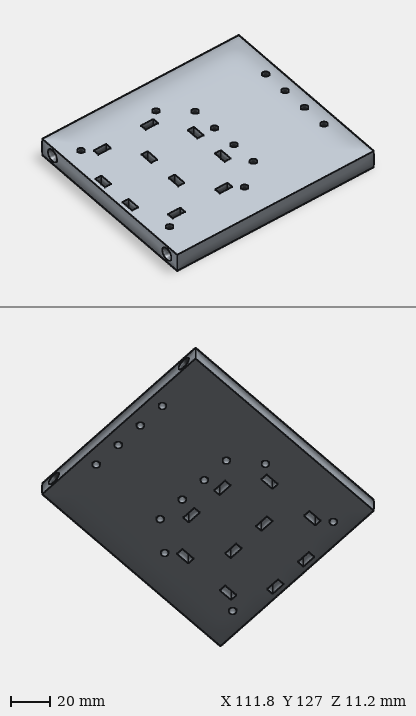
import cadquery as cq

width = 111.8
length = 127.0
thickness = 11.2
side_bulge = 0.3

bore_diameter = 7.5
bore_spacing = 94.2

hole_diameter = 4.0
row_hole_count = 4
row_hole_pitch = 16.0
row_spacing = 45.6
row_center_y = 33.3
corner_hole_spacing_x = 73.0
corner_hole_spacing_y = 48.4
corner_hole_center_y = -29.2

slot_length = 8.0
slot_width = 4.0
cross_slot_spacing_x = 22.4
cross_slot_row_count = 3
cross_slot_pitch_y = 29.8
cross_slot_center_y = -29.1
upright_slot_spacing_x = 61.1
upright_slot_spacing_y = 30.5
upright_slot_center_y = -29.1


def make_plate():
    """Plate whose long sides are shallow outward arcs."""
    edge_x = width / 2 - side_bulge
    half_thickness = thickness / 2
    return (
        cq.Workplane("XZ")
        .moveTo(-edge_x, -half_thickness)
        .lineTo(edge_x, -half_thickness)
        .threePointArc((width / 2, 0), (edge_x, half_thickness))
        .lineTo(-edge_x, half_thickness)
        .threePointArc((-width / 2, 0), (-edge_x, -half_thickness))
        .close()
        .extrude(length / 2, both=True)
    )


def grid(center_y, pitch_x, pitch_y, columns, rows):
    """Workplane on the underside with a grid of points centred on x = 0."""
    return (
        cq.Workplane("XY", origin=(0, center_y, -thickness / 2))
        .rarray(pitch_x, pitch_y, columns, rows)
    )


bores = (
    cq.Workplane("XZ")
    .pushPoints([(-bore_spacing / 2, 0), (bore_spacing / 2, 0)])
    .circle(bore_diameter / 2)
    .extrude(length / 2, both=True)
)

row_holes = (
    grid(row_center_y, row_hole_pitch, row_spacing, row_hole_count, 2)
    .circle(hole_diameter / 2)
    .extrude(thickness)
)

corner_holes = (
    grid(corner_hole_center_y, corner_hole_spacing_x, corner_hole_spacing_y, 2, 2)
    .circle(hole_diameter / 2)
    .extrude(thickness)
)

cross_slots = (
    grid(cross_slot_center_y, cross_slot_spacing_x, cross_slot_pitch_y, 2, cross_slot_row_count)
    .rect(slot_length, slot_width)
    .extrude(thickness)
)

upright_slots = (
    grid(upright_slot_center_y, upright_slot_spacing_x, upright_slot_spacing_y, 2, 2)
    .rect(slot_width, slot_length)
    .extrude(thickness)
)

result = make_plate()
for cutter in (bores, row_holes, corner_holes, cross_slots, upright_slots):
    result = result.cut(cutter)